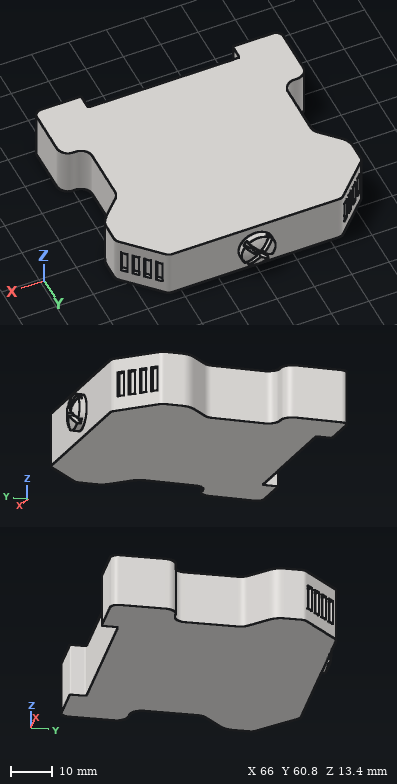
import cadquery as cq
import math

width = 66.0
body_height = 57.75
thickness = 13.4
half_width = width / 2
mid_z = thickness / 2

shoulder_y = 47.9
head_bottom_y = 40.85
waist_half_width = 26.2
foot_top_y = 16.5
notch_half_width = 20.25
notch_depth = 4.1
top_half_width = half_width - (body_height - shoulder_y)
waist_top_y = head_bottom_y - (half_width - waist_half_width)

shoulder_radius = 2.0
head_bottom_radius = 4.95
waist_top_radius = 3.2
foot_radius = 3.05
foot_corner_radius = 2.0
notch_radius = 0.45

slot_count = 4
slot_width = 1.7
slot_pitch = 3.05
slot_length = 6.1
slot_depth = 1.0
slot_row_center_y = 52.75

screw_diameter = 9.05
screw_height = 3.1
screw_rim_height = 1.85
recess_width = 1.3
recess_floor_height = 0.9
screw_embed = 0.65


def make_body():
    """Extrude the mirror-symmetric outline and round its corners."""
    corners = [
        (notch_half_width, notch_depth, notch_radius),
        (notch_half_width, 0, notch_radius),
        (half_width, 0, foot_corner_radius),
        (half_width, foot_top_y, foot_radius),
        (waist_half_width, foot_top_y, foot_radius),
        (waist_half_width, waist_top_y, waist_top_radius),
        (half_width, head_bottom_y, head_bottom_radius),
        (half_width, shoulder_y, shoulder_radius),
        (top_half_width, body_height, shoulder_radius),
    ]
    right_side = [(x, y) for x, y, _ in corners]
    left_side = [(-x, y) for x, y in reversed(right_side)]
    body = cq.Workplane("XY").polyline(right_side + left_side).close().extrude(thickness)
    for x, y, radius in corners:
        for side in (-1, 1):
            corner_edge = cq.selectors.NearestToPointSelector((side * x, y, mid_z))
            body = body.edges("|Z").edges(corner_edge).fillet(radius)
    return body


def make_slots(side):
    """Row of slot cutters sunk at right angles into one shoulder flank."""
    row_center_x = side * (top_half_width + body_height - slot_row_center_y)
    flank = cq.Plane(
        origin=(row_center_x, slot_row_center_y, mid_z),
        xDir=(0, 0, 1),
        normal=(side, 1, 0),
    )
    return (
        cq.Workplane(flank)
        .rarray(0.65, slot_pitch, 1, slot_count)
        .rect(slot_length, slot_width)
        .extrude(slot_depth, both=True)
    )


def make_screw():
    """Domed head on the top face, its cross recess turned 45 degrees."""
    radius = screw_diameter / 2
    dome_rise = screw_height - screw_rim_height
    dome_radius = (radius**2 + dome_rise**2) / (2 * dome_rise)
    half_angle = math.asin(radius / dome_radius) / 2
    dome_middle = (
        dome_radius * math.sin(half_angle),
        screw_height - dome_radius * (1 - math.cos(half_angle)),
    )
    screw = (
        cq.Workplane("XY")
        .moveTo(0, -screw_embed)
        .lineTo(radius, -screw_embed)
        .lineTo(radius, screw_rim_height)
        .threePointArc(dome_middle, (0, screw_height))
        .close()
        .revolve(360, (0, 0, 0), (0, 1, 0))
    )
    recess_depth = screw_height - recess_floor_height
    for angle in (45, -45):
        recess = (
            cq.Workplane("XY")
            .box(2 * screw_diameter, recess_depth, recess_width)
            .translate((0, recess_floor_height + recess_depth / 2, 0))
            .rotate((0, 0, 0), (0, 1, 0), angle)
        )
        screw = screw.cut(recess)
    return screw.translate((0, body_height, mid_z))


result = make_body()
for flank_side in (-1, 1):
    result = result.cut(make_slots(flank_side))
result = result.union(make_screw())